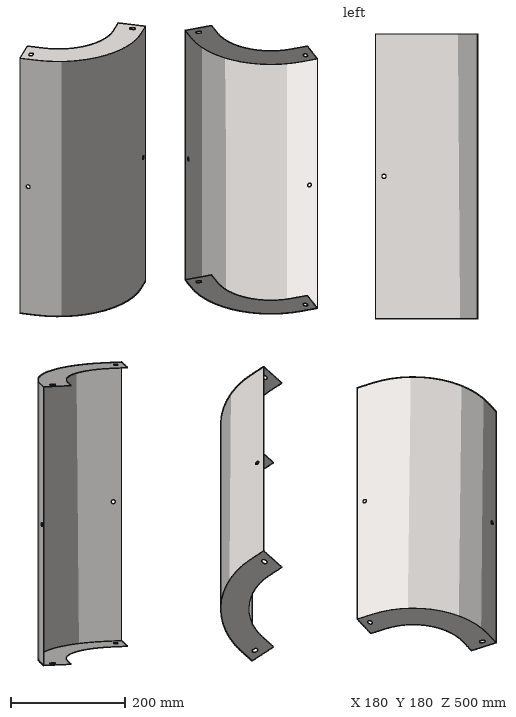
import cadquery as cq
import math

height = 500.0
outer_radius = 150.0
straight_length = 30.0
sheet = 0.8
flange_width = 50.0

wall_hole_diameter = 7.0
slot_width = 7.0
slot_length = 10.5
hole_from_end = 15.0
slot_from_wall = 20.0

size = outer_radius + straight_length
half_size = size / 2
bend_x = -half_size + straight_length
bend_y = half_size - straight_length


def bent_strip(width, thickness):
    """Strip following the outer outline, reaching inward by width."""
    inner_radius = outer_radius - width
    diagonal = math.sqrt(0.5)
    return (
        cq.Workplane("XY")
        .moveTo(-half_size, -half_size)
        .lineTo(bend_x, -half_size)
        .threePointArc(
            (bend_x + outer_radius * diagonal, bend_y - outer_radius * diagonal),
            (half_size, bend_y),
        )
        .lineTo(half_size, half_size)
        .lineTo(half_size - width, half_size)
        .lineTo(half_size - width, bend_y)
        .threePointArc(
            (bend_x + inner_radius * diagonal, bend_y - inner_radius * diagonal),
            (bend_x, -half_size + width),
        )
        .lineTo(-half_size, -half_size + width)
        .close()
        .extrude(thickness)
    )


def flange_slot(x, y, angle):
    """Slot cutter through both flanges; angle is the direction of its length."""
    return (
        cq.Workplane("XY")
        .center(x, y)
        .slot2D(slot_length, slot_width, angle)
        .extrude(height)
    )


def wall_hole(plane, along, wall_position):
    """Round cutter through one flat strip at mid height."""
    return (
        cq.Workplane(plane)
        .center(along, height / 2)
        .circle(wall_hole_diameter / 2)
        .extrude(2 * sheet, both=True)
        .translate(wall_position)
    )


wall = bent_strip(sheet, height)
bottom_flange = bent_strip(flange_width, sheet)
top_flange = bottom_flange.translate((0, 0, height - sheet))
result = wall.union(bottom_flange).union(top_flange)

end_offset = half_size - hole_from_end
slot_offset = half_size - slot_from_wall
result = result.cut(flange_slot(-end_offset, -slot_offset, 90))
result = result.cut(flange_slot(slot_offset, end_offset, 0))

result = result.cut(wall_hole("XZ", -end_offset, (0, -half_size, 0)))
result = result.cut(wall_hole("YZ", end_offset, (half_size, 0, 0)))